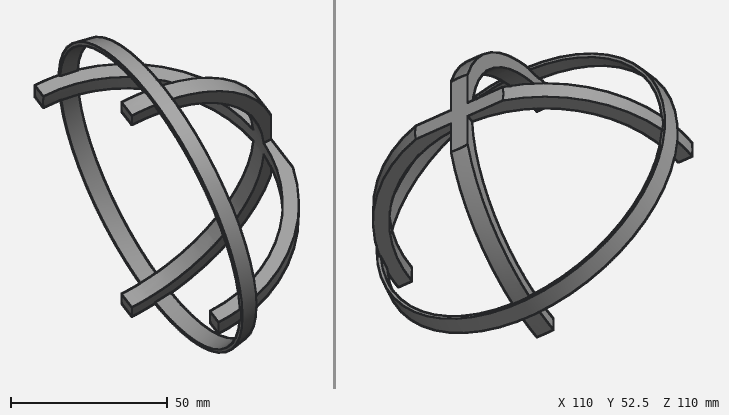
import cadquery as cq
import math

outer_radius = 55.0
inner_radius = 49.8
dome_height = 52.5
arm_width = 6.3

ring_radius = 55.0
ring_offset = 9.0
ring_width = 6.0
ring_thickness = 1.3
ring_slant = math.radians(10.5)


def make_arms():
    """Cut a crossed pair of straight bands out of a spherical shell."""
    shell = cq.Workplane("XY").sphere(outer_radius).cut(cq.Workplane("XY").sphere(inner_radius))
    span = 2 * outer_radius
    centering = (True, False, True)
    level_band = cq.Workplane("XY").box(span, dome_height, arm_width, centered=centering)
    upright_band = cq.Workplane("XY").box(arm_width, dome_height, span, centered=centering)
    return shell.intersect(level_band.union(upright_band))


def make_ring():
    """Revolve a slanted rectangle about the Y axis; the ring narrows toward the crown."""
    sine = math.sin(ring_slant)
    cosine = math.cos(ring_slant)
    across_wall = (-ring_thickness * cosine, -ring_thickness * sine)
    along_wall = (-ring_width * sine, ring_width * cosine)
    section = (
        cq.Workplane("XY")
        .moveTo(ring_radius, ring_offset)
        .line(*across_wall)
        .line(*along_wall)
        .line(-across_wall[0], -across_wall[1])
        .close()
    )
    return section.revolve(360, (0, 0, 0), (0, 1, 0))


result = make_arms().union(make_ring())